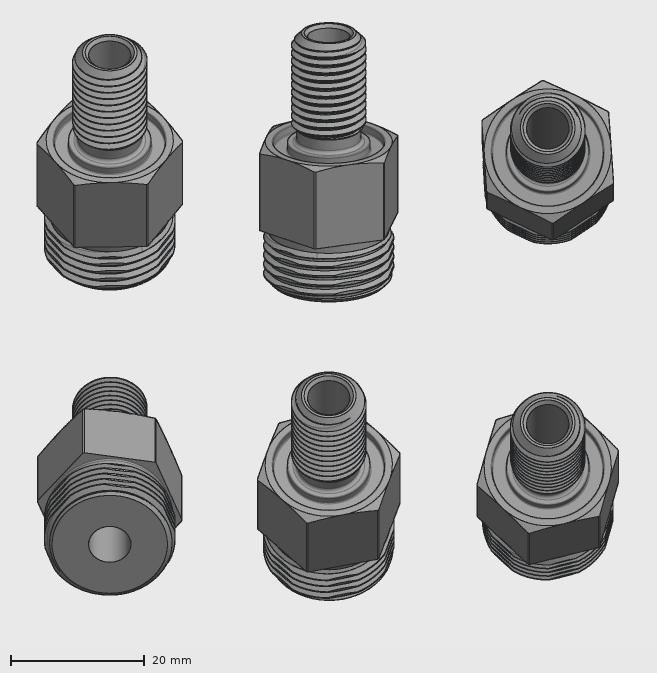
import cadquery as cq
import math

total_height = 40.0
hex_bottom = 9.5
hex_top = 22.4

across_flats = 19.05
across_corners = 21.85
corner_chamfer_drop = 0.5
corner_chamfer_inner_radius = across_flats / 2

bore_radius = 3.15
bore_chamfer = 0.5

groove_outer_radius = 8.35
groove_inner_radius = 6.2
groove_depth = 1.3
groove_fillet = 0.1

upper_root_radius = 4.8
upper_crest_radius = 5.6
upper_thread_bottom = 24.65
upper_tip_radius = 4.1
upper_pitch = 25.4 / 20
upper_crest_flat = 0.15
upper_crest_height = 38.3
neck_fillet = 0.55

lower_root_radius = 9.0
lower_crest_radius = 9.8
lower_thread_top = 8.05
lower_tip_radius = 8.65
lower_pitch = 6.0 / 4
lower_crest_flat = 0.2
lower_crest_height = 1.6
collar_fillet = 0.2

flank_slope = math.tan(math.radians(30))
ridge_sink = 0.1


def revolved(points):
    """Solid of revolution about Z from a closed (radius, height) outline."""
    return cq.Workplane("XZ").polyline(points).close().revolve(360, (0, 0, 0), (0, 1, 0))


def double_cone(lower_apex, upper_apex):
    """Two 45 degree cones base to base, which bevel both ends of a thread ridge."""
    half_height = (upper_apex - lower_apex) / 2
    return revolved([(0, lower_apex), (half_height, lower_apex + half_height), (0, upper_apex)])


def disc(radius, bottom, top):
    return cq.Workplane("XY").workplane(offset=bottom).circle(radius).extrude(top - bottom)


def hex_prism(bottom, top):
    """Hexagon with corners on X and flats facing +Y and -Y."""
    corner_circle = across_flats / math.cos(math.radians(30))
    return cq.Workplane("XY").workplane(offset=bottom).polygon(6, corner_circle).extrude(top - bottom)


def thread_ridge(root_radius, crest_radius, pitch, crest_flat, crest_height, bottom, top):
    """Right-handed helical ridge that runs past both ends of the threaded length."""
    turns_below = math.ceil((crest_height - bottom) / pitch) + 1
    turns_above = math.ceil((top - crest_height) / pitch) + 1
    start = crest_height - turns_below * pitch
    helix = cq.Wire.makeHelix(pitch, (turns_below + turns_above) * pitch, root_radius)
    helix = helix.translate(cq.Vector(0, 0, start))
    base_radius = root_radius - ridge_sink
    half_crest = crest_flat / 2
    half_base = half_crest + (crest_radius - base_radius) * flank_slope
    profile = cq.Workplane("XZ").polyline([
        (base_radius, start - half_base),
        (crest_radius, start - half_crest),
        (crest_radius, start + half_crest),
        (base_radius, start + half_base),
    ]).close()
    return profile.sweep(cq.Workplane(helix), isFrenet=True)


def trimmed_thread(core, ridge, bevels, limits):
    """Ridge and core joined, bevelled together at both ends and kept inside the limits."""
    return core.union(ridge, clean=False).intersect(bevels, clean=False).intersect(limits, clean=False)


def make_hex_body():
    """Hexagon with trimmed corners, a conical top edge and a ring groove."""
    rim_radius = across_corners / 2
    envelope = revolved([
        (0, hex_bottom),
        (rim_radius, hex_bottom),
        (rim_radius, hex_top - corner_chamfer_drop),
        (corner_chamfer_inner_radius, hex_top),
        (0, hex_top),
    ])
    body = hex_prism(hex_bottom, hex_top).intersect(envelope)
    groove_floor = hex_top - groove_depth
    groove = disc(groove_outer_radius, groove_floor, hex_top).cut(
        disc(groove_inner_radius, groove_floor, hex_top))
    body = body.cut(groove)
    wall_radii = (groove_inner_radius, groove_outer_radius)
    groove_edges = [
        edge for edge in body.edges("%CIRCLE").vals()
        if any(math.isclose(edge.radius(), radius) for radius in wall_radii)
    ]
    return body.newObject(groove_edges).fillet(groove_fillet)


def make_upper_neck():
    """Plain neck under the upper thread, filleted into the hexagon."""
    foot_radius = upper_root_radius + neck_fillet
    arc_middle = neck_fillet * (1 - math.sqrt(0.5))
    return (
        cq.Workplane("XZ")
        .moveTo(0, hex_top - groove_depth)
        .lineTo(foot_radius, hex_top - groove_depth)
        .lineTo(foot_radius, hex_top)
        .threePointArc((upper_root_radius + arc_middle, hex_top + arc_middle),
                       (upper_root_radius, hex_top + neck_fillet))
        .lineTo(upper_root_radius, upper_thread_bottom)
        .lineTo(0, upper_thread_bottom)
        .close()
        .revolve(360, (0, 0, 0), (0, 1, 0))
    )


def make_upper_thread():
    """Upper thread from its runout above the neck to the coned tip."""
    ridge = thread_ridge(upper_root_radius, upper_crest_radius, upper_pitch, upper_crest_flat,
                         upper_crest_height, upper_thread_bottom, total_height)
    core = disc(upper_root_radius, hex_top - upper_pitch, total_height + upper_pitch)
    bevels = double_cone(upper_thread_bottom - upper_root_radius, total_height + upper_tip_radius)
    limits = disc(upper_crest_radius + upper_pitch, hex_top, total_height)
    return trimmed_thread(core, ridge, bevels, limits)


def make_lower_collar():
    """Plain collar between the lower thread and the hexagon, filleted into the hexagon."""
    head_radius = lower_root_radius + collar_fillet
    arc_middle = collar_fillet * (1 - math.sqrt(0.5))
    return (
        cq.Workplane("XZ")
        .moveTo(0, lower_thread_top)
        .lineTo(lower_root_radius, lower_thread_top)
        .lineTo(lower_root_radius, hex_bottom - collar_fillet)
        .threePointArc((lower_root_radius + arc_middle, hex_bottom - arc_middle),
                       (head_radius, hex_bottom))
        .lineTo(0, hex_bottom)
        .close()
        .revolve(360, (0, 0, 0), (0, 1, 0))
    )


def make_lower_thread():
    """Lower thread from its coned tip to its runout, with crests flush with the hexagon flats."""
    ridge = thread_ridge(lower_root_radius, lower_crest_radius, lower_pitch, lower_crest_flat,
                         lower_crest_height, 0, lower_thread_top)
    core = disc(lower_root_radius, -lower_pitch, hex_bottom + lower_pitch)
    bevels = double_cone(-lower_tip_radius, lower_thread_top + lower_root_radius)
    return trimmed_thread(core, ridge, bevels, hex_prism(0, hex_bottom))


def make_bore():
    """Through bore with a 45 degree chamfer at the upper mouth."""
    return revolved([
        (0, 0),
        (bore_radius, 0),
        (bore_radius, total_height - bore_chamfer),
        (bore_radius + bore_chamfer, total_height),
        (0, total_height),
    ])


result = (
    make_hex_body()
    .union(make_upper_neck(), clean=False)
    .union(make_upper_thread(), clean=False)
    .union(make_lower_collar(), clean=False)
    .union(make_lower_thread(), clean=False)
    .cut(make_bore(), clean=False)
)